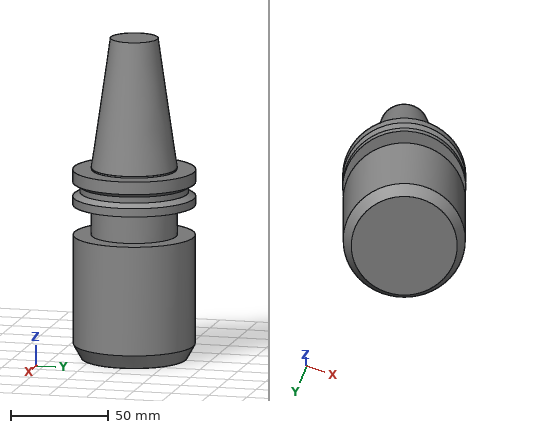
import cadquery as cq
import math

nose_chamfer_height = 7.5
body_top = 64.8
flange_bottom = 80.8
flange_top = 99.1
collar_top = 100.0
total_height = 168.2

nose_diameter = 54.5
body_diameter = 63.0
neck_diameter = 44.5
flange_diameter = 63.5
groove_diameter = 56.0
collar_diameter = 43.9
taper_large_diameter = 44.5
taper_small_diameter = 24.7

lower_rim_height = 4.4
upper_rim_height = 6.5
groove_wall_slope = 30


def disc(diameter, bottom, top):
    """Round section standing on the Z axis."""
    return cq.Workplane("XY").workplane(offset=bottom).circle(diameter / 2).extrude(top - bottom)


def cone(bottom_diameter, top_diameter, bottom, top):
    """Tapered round section standing on the Z axis."""
    return (
        cq.Workplane("XY").workplane(offset=bottom).circle(bottom_diameter / 2)
        .workplane(offset=top - bottom).circle(top_diameter / 2)
        .loft(ruled=True)
    )


def grooved_flange():
    """Gripper flange: two rims with a V-groove between them."""
    rim = flange_diameter / 2
    floor = groove_diameter / 2
    wall_rise = (rim - floor) * math.tan(math.radians(groove_wall_slope))
    lower_rim_top = flange_bottom + lower_rim_height
    upper_rim_bottom = flange_top - upper_rim_height
    profile = [
        (0, flange_bottom),
        (rim, flange_bottom),
        (rim, lower_rim_top),
        (floor, lower_rim_top + wall_rise),
        (floor, upper_rim_bottom - wall_rise),
        (rim, upper_rim_bottom),
        (rim, flange_top),
        (0, flange_top),
    ]
    return cq.Workplane("XZ").polyline(profile).close().revolve(360, (0, 0, 0), (0, 1, 0))


nose = cone(nose_diameter, body_diameter, 0, nose_chamfer_height)
body = disc(body_diameter, nose_chamfer_height, body_top)
neck = disc(neck_diameter, body_top, flange_bottom)

collar = disc(collar_diameter, flange_top, collar_top)
shank = cone(taper_large_diameter, taper_small_diameter, collar_top, total_height)

result = nose.union(body).union(neck).union(grooved_flange()).union(collar).union(shank)